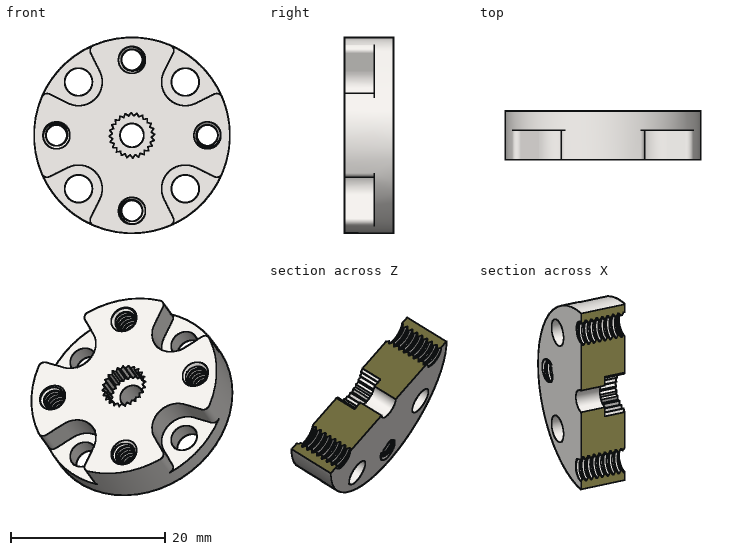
import cadquery as cq
import math

disc_radius = 12.7
thickness = 6.35

hole_circle_radius = 9.78
clearance_radius = 1.78
repeat_count = 4
repeat_angle = 360 / repeat_count
diagonal_angle = repeat_angle / 2

pocket_depth = 3.83
pocket_radius = 3.07
flank_angle = 18.5
lip_fillet = 0.75
rim_tolerance = 0.03

thread_minor_radius = 1.35
thread_major_radius = 1.73
thread_pitch = 0.79
thread_flank_angle = 30
thread_phase = -0.08
thread_overrun = 0.15
thread_spare_turns = 2
countersink_radius = 1.75
countersink_depth = 0.4

bore_radius = 1.52
socket_depth = 2.9
socket_tip_radius = 2.95
socket_root_radius = 2.55
tooth_count = 24
first_tooth_angle = 2.2


def polar(radius, degrees):
    angle = math.radians(degrees)
    return (radius * math.cos(angle), radius * math.sin(angle))


def make_pocket():
    """Pocket on the +X side: round around its hole, with flanks opening to the rim."""
    tangent_x, tangent_y = polar(pocket_radius, 90 + flank_angle)
    tangent_x += hole_circle_radius
    mouth_x = disc_radius
    mouth_y = tangent_y + (mouth_x - tangent_x) * math.tan(math.radians(flank_angle))
    return (
        cq.Workplane("XY", origin=(0, 0, thickness - pocket_depth))
        .moveTo(mouth_x, -mouth_y)
        .lineTo(mouth_x, mouth_y)
        .lineTo(tangent_x, tangent_y)
        .threePointArc((hole_circle_radius - pocket_radius, 0), (tangent_x, -tangent_y))
        .close()
        .extrude(pocket_depth)
    )


def make_lobes():
    """Raised star left between the pockets, with its rim corners rounded."""
    lobes = (
        cq.Workplane("XY", origin=(0, 0, thickness - pocket_depth))
        .circle(disc_radius)
        .extrude(pocket_depth)
    )
    pocket = make_pocket()
    for index in range(repeat_count):
        turn = diagonal_angle + index * repeat_angle
        lobes = lobes.cut(pocket.rotate((0, 0, 0), (0, 0, 1), turn))
    corner_edges = [
        edge
        for edge in lobes.edges("|Z").vals()
        if math.hypot(edge.Center().x, edge.Center().y) > disc_radius - rim_tolerance
        and abs(edge.Center().y) > rim_tolerance
    ]
    return lobes.newObject(corner_edges).fillet(lip_fillet)


def make_thread_groove():
    """Helical groove around the Z axis, running past both faces of the disc."""
    overshoot = thread_spare_turns * thread_pitch
    start = thread_phase - overshoot
    inner_radius = thread_minor_radius - thread_overrun
    root_half = thread_pitch / 16
    groove_depth = thread_major_radius - inner_radius
    mouth_half = root_half + groove_depth * math.tan(math.radians(thread_flank_angle))
    helix = cq.Wire.makeHelix(
        thread_pitch, thickness + 2 * overshoot, inner_radius, center=cq.Vector(0, 0, start)
    )
    return (
        cq.Workplane("XZ")
        .polyline(
            [
                (inner_radius, start - mouth_half),
                (thread_major_radius, start - root_half),
                (thread_major_radius, start + root_half),
                (inner_radius, start + mouth_half),
            ]
        )
        .close()
        .sweep(cq.Workplane(helix), isFrenet=True)
    )


def make_threaded_plug():
    """Solid with the shape of one threaded hole, on the Z axis."""
    blank = cq.Workplane("XY").circle(2 * countersink_radius).extrude(thickness)
    slope = countersink_depth / (countersink_radius - thread_minor_radius)
    cone_height = slope * countersink_radius
    countersink = cq.Workplane(
        cq.Solid.makeCone(
            0, countersink_radius, cone_height, pnt=cq.Vector(0, 0, thickness - cone_height)
        )
    )
    bore = cq.Workplane("XY").circle(thread_minor_radius).extrude(thickness)
    nut = blank.cut(make_thread_groove()).cut(countersink).cut(bore)
    return blank.cut(nut)


def make_socket():
    """Star-shaped socket with pointed teeth, open at the lobed face."""
    points = []
    step = 360 / tooth_count
    for index in range(tooth_count):
        tip_angle = first_tooth_angle + index * step
        points.append(polar(socket_tip_radius, tip_angle))
        points.append(polar(socket_root_radius, tip_angle + step / 2))
    return (
        cq.Workplane("XY", origin=(0, 0, thickness - socket_depth))
        .polyline(points)
        .close()
        .extrude(socket_depth)
    )


base = cq.Workplane("XY").circle(disc_radius).extrude(thickness - pocket_depth)
body = base.union(make_lobes())

body = body.cut(cq.Workplane("XY").circle(bore_radius).extrude(thickness))
body = body.cut(make_socket())

body = body.cut(
    cq.Workplane("XY")
    .polarArray(hole_circle_radius, diagonal_angle, 360, repeat_count)
    .circle(clearance_radius)
    .extrude(thickness)
)

threaded_plug = make_threaded_plug().translate((hole_circle_radius, 0, 0))
for index in range(repeat_count):
    body = body.cut(threaded_plug.rotate((0, 0, 0), (0, 0, 1), index * repeat_angle))

result = body.rotate((0, 0, 0), (1, 0, 0), 90)